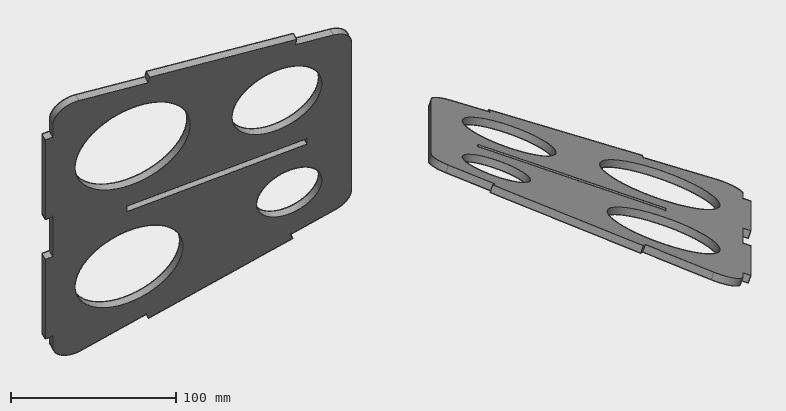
import cadquery as cq
import math

thickness = 5.0
width = 205.0
height = 252.5
tab_depth = 5.0
corner_radius = 15.0
top_slope = math.radians(10)
bottom_slope = math.radians(15)

front_tab_gap = 40.0
front_tab_length = 80.0
slope_tab_start = 65.0
slope_tab_length = 100.0

slot_length = 120.5
slot_height = 5.5
slot_center_y = 115.0

hole_edge_margin = 20.0
hole_rim_z = 22.5
top_front_diameter = 77.0
top_back_diameter = 60.0
bottom_front_diameter = 72.2
bottom_back_diameter = 43.7


def rounding_drop(slope):
    """Height lost when the front corner of a sloping edge is rounded."""
    return corner_radius * (math.tan(slope) + 1 / math.cos(slope) - 1)


corner_z = (height + rounding_drop(top_slope) + rounding_drop(bottom_slope)) / 2
body_front_y = tab_depth


def make_body():
    run = width - body_front_y
    outline = [
        (body_front_y, -corner_z),
        (width, -corner_z + run * math.tan(bottom_slope)),
        (width, corner_z - run * math.tan(top_slope)),
        (body_front_y, corner_z),
    ]
    body = cq.Workplane("YZ").polyline(outline).close().extrude(thickness)
    return body.edges("|X").fillet(corner_radius)


def make_slope_tab(side, slope):
    """Tab square to a sloping edge; side is 1 for the top, -1 for the bottom."""
    along = (math.cos(slope), -side * math.sin(slope))
    outward = (math.sin(slope), side * math.cos(slope))

    def edge_point(distance, offset):
        return (
            body_front_y + distance * along[0] + offset * outward[0],
            side * corner_z + distance * along[1] + offset * outward[1],
        )

    end = slope_tab_start + slope_tab_length
    outline = [
        edge_point(slope_tab_start, -tab_depth),
        edge_point(end, -tab_depth),
        edge_point(end, tab_depth),
        edge_point(slope_tab_start, tab_depth),
    ]
    return cq.Workplane("YZ").polyline(outline).close().extrude(thickness)


def make_front_tabs():
    center_z = (front_tab_gap + front_tab_length) / 2
    return (
        cq.Workplane("YZ")
        .pushPoints([(body_front_y, center_z), (body_front_y, -center_z)])
        .rect(2 * tab_depth, front_tab_length)
        .extrude(thickness)
    )


def make_hole(side, at_front, diameter):
    """Round hole placed by its rim; side is 1 above the slot, -1 below."""
    radius = diameter / 2
    inset = hole_edge_margin + radius
    center_y = inset if at_front else width - inset
    center_z = side * (hole_rim_z + radius)
    return cq.Workplane("YZ").center(center_y, center_z).circle(radius).extrude(thickness)


def make_slot():
    return cq.Workplane("YZ").center(slot_center_y, 0).rect(slot_length, slot_height).extrude(thickness)


result = (
    make_body()
    .union(make_slope_tab(1, top_slope))
    .union(make_slope_tab(-1, bottom_slope))
    .union(make_front_tabs())
    .cut(make_hole(1, True, top_front_diameter))
    .cut(make_hole(1, False, top_back_diameter))
    .cut(make_hole(-1, True, bottom_front_diameter))
    .cut(make_hole(-1, False, bottom_back_diameter))
    .cut(make_slot())
)